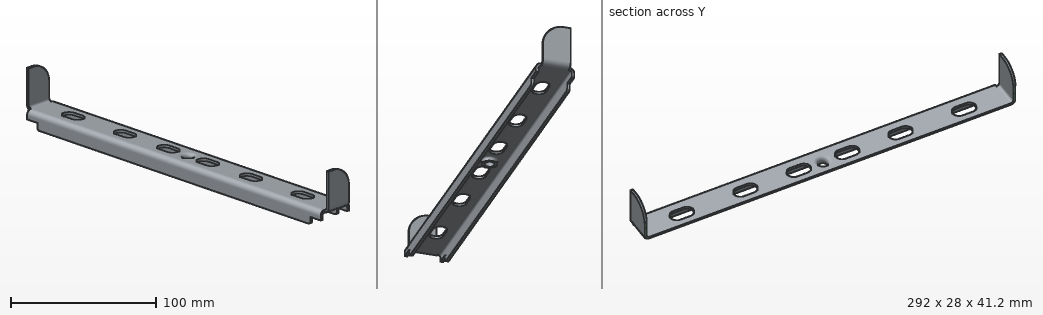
import cadquery as cq
import math

thickness = 2.0
outer_radius = 4.0
inner_radius = outer_radius - thickness

overall_length = 292.0
overall_width = 28.0
overall_height = 41.22

channel_height = 12.35
channel_length = overall_length - 2 * outer_radius
half_length = channel_length / 2

notch_length = 10.0
end_leg_height = 7.0
notch_height = channel_height - end_leg_height
leg_corner_radius = 2.0

tab_width = overall_width - 2 * outer_radius
tab_top = overall_height - channel_height
tab_corner_radius = 15.0

slot_length = 18.0
slot_width = 10.0
slot_offsets = (19.0, 61.0, 111.0)

hole_diameter = 7.0
mouth_radius = 3.0
hole_depth = 5.0


def rounded_bar(width, radius, top):
    """Solid bar along X with rounded upper edges and its upper face at Z = top."""
    bar = cq.Workplane("XY").box(channel_length, width, channel_height, centered=(True, True, False))
    bar = bar.translate((0, 0, top - channel_height))
    return bar.edges("|X and >Z").fillet(radius)


def make_channel():
    outside = rounded_bar(overall_width, outer_radius, 0)
    inside = rounded_bar(overall_width - 2 * thickness, inner_radius, -thickness)
    return outside.cut(inside)


def trim_legs(body):
    """Shorten the legs at both ends and round the corners that remain."""
    for side in (-1, 1):
        notch = cq.Workplane("XY").box(notch_length, overall_width, notch_height, centered=(True, True, False))
        notch = notch.translate((side * (half_length - notch_length / 2), 0, -channel_height))
        body = body.cut(notch)
    return body.faces("<Z").edges("|Y").fillet(leg_corner_radius)


def make_tab(side):
    """Upright tab with its bend; side is -1 or +1 along X."""
    start = side * half_length
    inner_face = start + side * inner_radius
    outer_face = start + side * outer_radius
    bend_z = inner_radius
    diagonal = math.sqrt(0.5)
    inner_mid = (start + side * inner_radius * diagonal, bend_z - inner_radius * diagonal)
    outer_mid = (start + side * outer_radius * diagonal, bend_z - outer_radius * diagonal)
    tab = (
        cq.Workplane("XZ")
        .moveTo(start, 0)
        .threePointArc(inner_mid, (inner_face, bend_z))
        .lineTo(inner_face, tab_top)
        .lineTo(outer_face, tab_top)
        .lineTo(outer_face, bend_z)
        .threePointArc(outer_mid, (start, -thickness))
        .close()
        .extrude(tab_width / 2, both=True)
    )
    return tab.edges("|X and >Z and >Y").fillet(tab_corner_radius)


def cut_slots(body):
    centers = [(side * offset, 0) for offset in slot_offsets for side in (-1, 1)]
    slots = cq.Workplane("XY").pushPoints(centers).slot2D(slot_length, slot_width).extrude(-2 * thickness)
    return body.cut(slots)


def flange_blank(radius, bend_radius, top, bottom):
    """Solid of revolution: a cylinder that flares out at its top with a concave bend."""
    arc_inset = 1 - math.sqrt(0.5)
    flare_mid = (radius + bend_radius * arc_inset, top - bend_radius * arc_inset)
    return (
        cq.Workplane("XZ")
        .moveTo(0, top)
        .lineTo(radius + bend_radius, top)
        .threePointArc(flare_mid, (radius, top - bend_radius))
        .lineTo(radius, bottom)
        .lineTo(0, bottom)
        .close()
        .revolve(360, (0, 0, 0), (0, 1, 0))
    )


def add_flanged_hole(body):
    hole_radius = hole_diameter / 2
    collar = flange_blank(hole_radius + thickness, mouth_radius - thickness, -thickness, -hole_depth)
    opening = flange_blank(hole_radius, mouth_radius, 0, -hole_depth)
    return body.union(collar).cut(opening)


result = trim_legs(make_channel())
for end in (-1, 1):
    result = result.union(make_tab(end))
result = cut_slots(result)
result = add_flanged_hole(result)